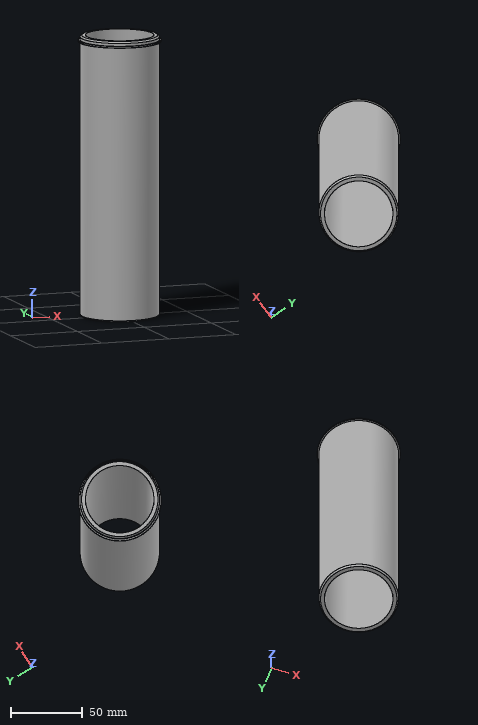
import cadquery as cq

length = 200.0
tube_radius = 28.0
bore_radius = 24.0
end_chamfer = 1.2

ring_radius = 29.2
ring_thickness = 1.2
ring_top_gap = 3.2

ring_bottom = length - ring_top_gap - ring_thickness


def make_tube():
    """Upright tube with chamfered outer end edges and a bore right through."""
    outside = cq.Workplane("XY").circle(tube_radius).extrude(length)
    chamfered = outside.faces("<Z or >Z").chamfer(end_chamfer)
    return chamfered.faces(">Z").workplane().circle(bore_radius).cutThruAll()


def make_ring():
    """Flat ring whose inside fits the outer wall of the tube."""
    ring_plane = cq.Workplane("XY").workplane(offset=ring_bottom)
    return ring_plane.circle(ring_radius).circle(tube_radius).extrude(ring_thickness)


tube = make_tube()
ring = make_ring()

result = cq.Compound.makeCompound([tube.val(), ring.val()])